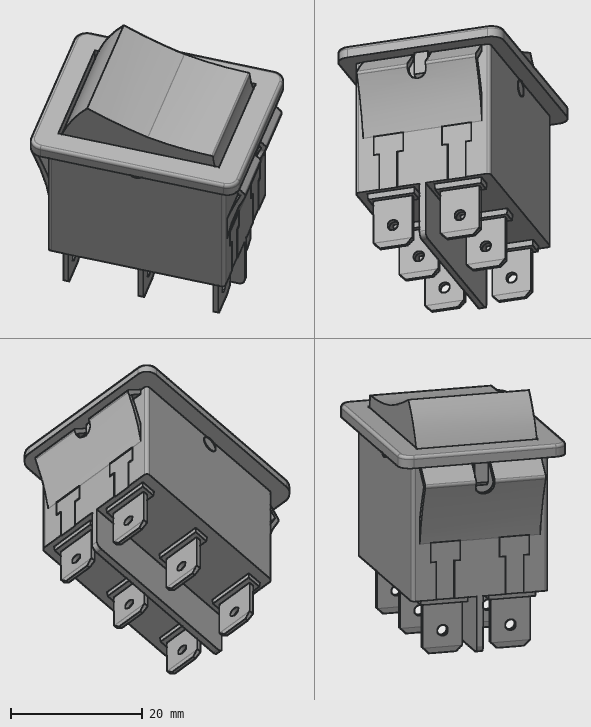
import cadquery as cq
import math


body_length = 28.2
body_width = 21.8
body_bottom = 8.95
body_corner_radius = 0.55
half_body = body_length / 2

flange_length = 33.2
flange_width = 26.6
flange_thickness = 1.95
flange_bottom = 30.75
flange_top = flange_bottom + flange_thickness
flange_corner_radius = 2.0
flange_edge_radius = 0.5

opening_length = 25.63
opening_width = 19.25
rocker_peak = (-8.2, 39.25)
rocker_flank = (-10.6, 36.1)
rocker_high_mid = (-3.38, 37.33)
rocker_middle = (1.4, 35.85)
rocker_low_mid = (6.48, 35.0)
rocker_low_end = (11.85, 34.75)
rocker_low_flank = (12.13, 32.7)
rocker_end_radius = 0.295

boss_diameter = 2.6
boss_height = 0.1

clip_width = 19.2
clip_reach = 17.0
clip_thickness = 0.8
clip_root_z = 30.85
clip_bend_radius = 0.5
clip_upper_angle = math.radians(45)
clip_lower_angle = math.radians(25)
clip_outer_mid = (15.15, 22.75)
clip_foot_z = 18.0
clip_inner_bend = (16.17, 27.55)
clip_inner_mid = (15.0, 24.73)
clip_inner_foot_z = 22.18
clip_notch_width = 2.95
clip_notch_bottom = 25.7

rib_width = 2.1
rib_projection = 0.7
rib_bottom = 26.55
rib_chamfer = 0.6

terminal_pitch = 11.95
terminal_y = 5.4
blade_width = 6.28
blade_thickness = 0.8
blade_tip_thickness = 0.5
blade_tip_height = 1.0
blade_hole_diameter = 1.7
blade_hole_z = 3.55
shoulder_length = 2.55
shoulder_width = 7.58
shoulder_height = 0.95
shoulder_draft = 5

barrier_thickness = 1.0
barrier_corner_radius = 1.0

recess_depth = 0.1
recess_y = 5.5
recess_head_width = 4.75
recess_stem_width = 3.0
recess_stem_slope = 0.15
recess_step_z = 14.9


def both_ends(solid):
    """Add the copy of a -X end feature on the +X end."""
    return solid.union(solid.mirror("YZ"))


def make_housing():
    height = flange_bottom - body_bottom
    body = (
        cq.Workplane("XY", origin=(0, 0, body_bottom))
        .rect(body_length, body_width)
        .extrude(height)
        .edges("|Z")
        .fillet(body_corner_radius)
    )
    flange = (
        cq.Workplane("XY", origin=(0, 0, flange_bottom))
        .rect(flange_length, flange_width)
        .extrude(flange_thickness)
        .edges("|Z")
        .fillet(flange_corner_radius)
        .faces(">Z")
        .edges()
        .fillet(flange_edge_radius)
    )
    opening = (
        cq.Workplane("XY", origin=(0, 0, flange_bottom))
        .rect(opening_length, opening_width)
        .extrude(flange_thickness)
    )
    bosses = (
        cq.Workplane("XZ", origin=(0, 0, flange_bottom - boss_diameter / 2))
        .circle(boss_diameter / 2)
        .extrude(body_width / 2 + boss_height, both=True)
    )
    return body.union(flange.cut(opening)).union(bosses)


def make_rocker():
    half_opening = opening_length / 2
    return (
        cq.Workplane("XZ")
        .moveTo(-half_opening, flange_bottom)
        .threePointArc(rocker_flank, rocker_peak)
        .threePointArc(rocker_high_mid, rocker_middle)
        .threePointArc(rocker_low_mid, rocker_low_end)
        .threePointArc(rocker_low_flank, (half_opening, flange_bottom))
        .close()
        .extrude(opening_width / 2, both=True)
        .edges(cq.selectors.NearestToPointSelector((rocker_low_end[0], 0, rocker_low_end[1])))
        .fillet(rocker_end_radius)
    )


def make_clip():
    """Bent spring strip on the -X face, notched in the middle."""
    bend_x = -clip_reach + clip_bend_radius
    bend_tilt = math.tan(clip_upper_angle)
    bend_z = (
        clip_root_z
        + (half_body + bend_x) * bend_tilt
        - clip_bend_radius / math.cos(clip_upper_angle)
    )

    def bend_point(angle):
        return (
            bend_x - clip_bend_radius * math.cos(angle),
            bend_z + clip_bend_radius * math.sin(angle),
        )

    inner_root_z = clip_root_z - clip_thickness / math.cos(clip_upper_angle)
    anchor_x = -half_body + clip_thickness
    strip = (
        cq.Workplane("XZ")
        .moveTo(-half_body, clip_root_z)
        .lineTo(*bend_point(clip_upper_angle))
        .threePointArc(bend_point(0), bend_point(-clip_lower_angle))
        .threePointArc((-clip_outer_mid[0], clip_outer_mid[1]), (-half_body, clip_foot_z))
        .lineTo(anchor_x, clip_foot_z)
        .lineTo(anchor_x, clip_inner_foot_z)
        .lineTo(-half_body, clip_inner_foot_z)
        .threePointArc(
            (-clip_inner_mid[0], clip_inner_mid[1]),
            (-clip_inner_bend[0], clip_inner_bend[1]),
        )
        .lineTo(-half_body, inner_root_z)
        .lineTo(anchor_x, inner_root_z)
        .lineTo(anchor_x, clip_root_z)
        .close()
        .extrude(clip_width / 2, both=True)
    )
    notch_radius = clip_notch_width / 2
    notch_centre_z = clip_notch_bottom + notch_radius
    notch = (
        cq.Workplane("YZ", origin=(-half_body, 0, 0))
        .moveTo(-notch_radius, flange_top)
        .lineTo(-notch_radius, notch_centre_z)
        .threePointArc((0, clip_notch_bottom), (notch_radius, notch_centre_z))
        .lineTo(notch_radius, flange_top)
        .close()
        .extrude(half_body - clip_reach)
    )
    return strip.cut(notch)


def make_rib():
    """Guide rib on the -X face under the flange."""
    rib_x = -half_body - rib_projection
    return (
        cq.Workplane("XZ")
        .moveTo(-half_body, flange_bottom)
        .lineTo(rib_x, flange_bottom)
        .lineTo(rib_x, rib_bottom + rib_chamfer)
        .lineTo(rib_x + rib_chamfer, rib_bottom)
        .lineTo(-half_body, rib_bottom)
        .close()
        .extrude(rib_width / 2, both=True)
    )


def make_recess():
    """Cutter for the T-shaped recess on the -X face, +Y side, with a sloped inner stem wall."""
    head = cq.Workplane("XY").box(
        recess_depth, recess_head_width, clip_foot_z - recess_step_z, centered=(False, True, False)
    )
    head = head.translate((-half_body, recess_y, recess_step_z))
    stem_outer = recess_y + recess_stem_width / 2
    stem_inner = recess_y - recess_stem_width / 2
    stem = (
        cq.Workplane("XY", origin=(0, 0, body_bottom))
        .moveTo(-half_body, stem_outer)
        .lineTo(-half_body + recess_depth, stem_outer)
        .lineTo(-half_body + recess_depth, stem_inner + recess_stem_slope)
        .lineTo(-half_body, stem_inner)
        .close()
        .extrude(recess_step_z - body_bottom)
    )
    return head.union(stem)


def make_terminal():
    """One blade with its drafted shoulder, centred on X = 0 and Y = 0."""
    shoulder = (
        cq.Workplane("XY", origin=(0, 0, body_bottom))
        .rect(shoulder_length, shoulder_width)
        .extrude(-shoulder_height, taper=shoulder_draft)
    )
    side_profile = (
        cq.Workplane("XZ")
        .moveTo(-blade_tip_thickness / 2, 0)
        .lineTo(blade_tip_thickness / 2, 0)
        .lineTo(blade_thickness / 2, blade_tip_height)
        .lineTo(blade_thickness / 2, body_bottom)
        .lineTo(-blade_thickness / 2, body_bottom)
        .lineTo(-blade_thickness / 2, blade_tip_height)
        .close()
        .extrude(blade_width / 2, both=True)
    )
    half_width = blade_width / 2
    half_tip = half_width - blade_tip_height
    face_outline = (
        cq.Workplane("YZ")
        .moveTo(-half_tip, 0)
        .lineTo(half_tip, 0)
        .lineTo(half_width, blade_tip_height)
        .lineTo(half_width, body_bottom)
        .lineTo(-half_width, body_bottom)
        .lineTo(-half_width, blade_tip_height)
        .close()
        .extrude(blade_thickness, both=True)
    )
    hole = (
        cq.Workplane("YZ", origin=(0, 0, blade_hole_z))
        .circle(blade_hole_diameter / 2)
        .extrude(blade_thickness, both=True)
    )
    return side_profile.intersect(face_outline).cut(hole).union(shoulder)


def make_barrier():
    return (
        cq.Workplane("XY")
        .box(body_length, barrier_thickness, body_bottom, centered=(True, True, False))
        .edges("|Y and <Z")
        .fillet(barrier_corner_radius)
    )


recess = make_recess()
recesses = both_ends(recess.union(recess.mirror("XZ")))

result = make_housing().cut(recesses).union(make_rocker())
result = result.union(both_ends(make_clip().union(make_rib())))
result = result.union(make_barrier())
terminal = make_terminal()
for column in (-1, 0, 1):
    for side in (-1, 1):
        result = result.union(terminal.translate((column * terminal_pitch, side * terminal_y, 0)))